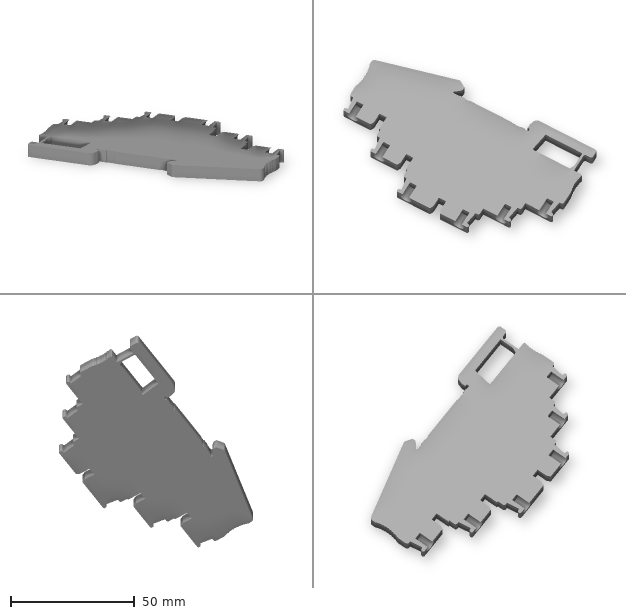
import cadquery as cq
import math


LENGTH = 99.54
HEIGHT = 56.5
THICKNESS = 5.2

TIER_COUNT = 3
TIER_RISE = 10.6
LEFT_PITCH = 13.5
RIGHT_PITCH = 18.5
RIGHT_WALL_SETBACK = 0.1
TIER_TOPS = [HEIGHT - TIER_RISE * (TIER_COUNT - 1 - i) for i in range(TIER_COUNT)]
LEFT_WALLS = [LEFT_PITCH * i for i in range(TIER_COUNT)]
RIGHT_WALLS = [LENGTH - RIGHT_WALL_SETBACK - RIGHT_PITCH * i for i in range(TIER_COUNT)]

LIP_INSET = 1.1
LIP_ROUND = 0.6
LIP_FACE_DROP = 0.9
NECK_INSET = 2.45
NECK_DROP = 1.75
SHOULDER_INSET = 1.65
SHOULDER_DROP = 7.2
SHOULDER_ROUND = 0.9
GRIP_WALL_TOP = 26.8

POCKET_INSET = 3.9
POCKET_MOUTH = 3.05
POCKET_LENGTH = 6.3
POCKET_FLOOR_WIDTH = 0.6
POCKET_RADIUS = 2.2

SLOT_WIDTH = 3.3
SLOT_DEPTH = 6.0
SLOT_STEP = 0.6
SLOT_LEAD_IN = 0.75
SLOT_LEAD_IN_DROP = 1.6
TOP_SLOT_CENTER = 43.35

GRIP_RADIUS = 15.8
GRIP_CENTER_Y = 17.45
LEFT_GRIP_DEPTH = 0.65
RIGHT_GRIP_DEPTH = 1.1
RIDGE_COUNT = 6
RIDGE_PITCH = 1.22
RIDGE_TOP_Y = 20.85
RIDGE_WIDTH = 0.45
RIDGE_HEIGHT = 0.2

BODY_BOTTOM = 12.6
BODY_CORNER = 0.5
FOOT_LEFT = 0.3
FOOT_TOP = 4.15
FOOT_ROUND = 0.9
STEM_LEFT = 3.85
STEM_WIDTH = 0.95
WINDOW_LEFT = STEM_LEFT + STEM_WIDTH
WINDOW_BEVEL_WIDTH = 0.95
WINDOW_BEVEL_HEIGHT = 2.1
WINDOW_TOP_RIGHT = 23.2
WINDOW_BOTTOM_RIGHT = 21.9
WINDOW_ROUND = 0.4
FOOT_TOE_START = 27.2
FOOT_TOE_MIDDLE = (28.35, 0.4)
FOOT_TOE_END = (29.1, 1.2)
FOOT_RIGHT = 29.75
FOOT_FLANK_Y = 3.3
CLAW_Y = 5.05

SEAT_Y = 6.0
SEAT_RELIEF = 0.25
SEAT_START = 28.8
SEAT_END = 63.8
SEAT_RELIEFS = [(32.4, 36.5), (56.3, 58.2)]
SEAT_START_RELIEF_END = 30.5
SEAT_END_RELIEF_START = 60.85

HOOK_THROAT_Y = 5.6
HOOK_NECK = (61.9, 4.2)
HOOK_LEFT = 61.05
HOOK_UPPER_Y = 3.2
HOOK_LOWER_Y = 1.85
HOOK_TIP_START = (63.7, 0.16)
HOOK_TIP_ROUND = 1.2
HOOK_TIP_X = 64.3
RAMP_ROUND = 1.4
RAMP_CORNER_TOP = 10.3


def grip_half_height(depth):
    """Half the chord of a grip arc that sinks by depth."""
    return math.sqrt(2 * GRIP_RADIUS * depth - depth ** 2)


def grip_sink(y, depth):
    """How far the grip arc lies inside the side wall at height y."""
    return depth - GRIP_RADIUS + math.sqrt(GRIP_RADIUS ** 2 - (y - GRIP_CENTER_Y) ** 2)


def quarter_round(path, start, corner, end):
    """Line to start, then a quarter arc to end that rounds off the corner."""
    center = (start[0] + end[0] - corner[0], start[1] + end[1] - corner[1])
    reach = math.sqrt(0.5)
    middle = (
        center[0] + (corner[0] - center[0]) * reach,
        center[1] + (corner[1] - center[1]) * reach,
    )
    return path.lineTo(*start).threePointArc(middle, end)


def draw_tier_end(path, wall, top, inward, climbing):
    """Draw the shoulder and latch lip at one end of a tier.

    inward is +1 at the left end and -1 at the right end.
    """

    def at(inset, drop):
        return (wall + inward * inset, top - drop)

    shoulder = [
        at(0, SHOULDER_DROP + SHOULDER_ROUND),
        at(0, SHOULDER_DROP),
        at(SHOULDER_ROUND, SHOULDER_DROP),
    ]
    neck = [
        at(SHOULDER_INSET, SHOULDER_DROP),
        at(NECK_INSET, NECK_DROP),
    ]
    heel = [
        at(LIP_INSET + LIP_ROUND, LIP_FACE_DROP + LIP_ROUND),
        at(LIP_INSET, LIP_FACE_DROP + LIP_ROUND),
        at(LIP_INSET, LIP_FACE_DROP),
    ]
    lip = [
        at(LIP_INSET, LIP_ROUND),
        at(LIP_INSET, 0),
        at(LIP_INSET + LIP_ROUND, 0),
    ]
    if climbing:
        path = quarter_round(path, *shoulder)
        path = path.lineTo(*neck[0])
        path = path.lineTo(*neck[1])
        path = quarter_round(path, *heel)
        return quarter_round(path, *lip)
    path = quarter_round(path, *lip[::-1])
    path = quarter_round(path, *heel[::-1])
    path = path.lineTo(*neck[1])
    path = path.lineTo(*neck[0])
    return quarter_round(path, *shoulder[::-1])


def draw_grip(path, wall, depth, inward, climbing):
    """Draw a ridged finger grip along a side wall."""
    half = grip_half_height(depth)
    travel = 1 if climbing else -1
    half_ridge = travel * RIDGE_WIDTH / 2
    end_y = GRIP_CENTER_Y + travel * half
    ridge_ys = [RIDGE_TOP_Y - RIDGE_PITCH * i for i in range(RIDGE_COUNT)]
    if climbing:
        ridge_ys.reverse()

    def on_grip(y, raised=0.0):
        return (wall + inward * (grip_sink(y, depth) - raised), y)

    valley_start = GRIP_CENTER_Y - travel * half
    path = path.lineTo(wall, valley_start)
    for y in ridge_ys:
        valley_end = y - half_ridge
        path = path.threePointArc(on_grip((valley_start + valley_end) / 2), on_grip(valley_end))
        path = path.threePointArc(on_grip(y, RIDGE_HEIGHT), on_grip(y + half_ridge))
        valley_start = y + half_ridge
    return path.threePointArc(on_grip((valley_start + end_y) / 2), (wall, end_y))


def draw_foot_toe(path):
    """Draw the toe and claw at the right end of the spring foot."""
    path = path.lineTo(FOOT_TOE_START, 0)
    path = path.threePointArc(FOOT_TOE_MIDDLE, FOOT_TOE_END)
    path = path.lineTo(FOOT_RIGHT, FOOT_FLANK_Y)
    path = path.lineTo(FOOT_RIGHT, CLAW_Y)
    return path.lineTo(SEAT_START, CLAW_Y)


def draw_seat(path):
    """Draw the rail seat with its shallow reliefs, from left to right."""
    relief_y = SEAT_Y + SEAT_RELIEF
    path = path.lineTo(SEAT_START, relief_y)
    path = path.lineTo(SEAT_START_RELIEF_END, relief_y)
    path = path.lineTo(SEAT_START_RELIEF_END, SEAT_Y)
    for start, end in SEAT_RELIEFS:
        path = path.lineTo(start, SEAT_Y)
        path = path.lineTo(start, relief_y)
        path = path.lineTo(end, relief_y)
        path = path.lineTo(end, SEAT_Y)
    path = path.lineTo(SEAT_END_RELIEF_START, SEAT_Y)
    path = path.lineTo(SEAT_END_RELIEF_START, relief_y)
    return path.lineTo(SEAT_END, relief_y)


def draw_hook(path):
    """Draw the fixed hook and the ramp that rises to the right side."""
    path = path.lineTo(SEAT_END, HOOK_THROAT_Y)
    path = path.lineTo(*HOOK_NECK)
    path = path.lineTo(HOOK_LEFT, HOOK_UPPER_Y)
    path = path.lineTo(HOOK_LEFT, HOOK_LOWER_Y)

    tip_center = (HOOK_TIP_X, HOOK_TIP_ROUND)
    corner_center = (LENGTH - RAMP_ROUND, RAMP_CORNER_TOP)
    run = corner_center[0] - tip_center[0]
    rise = corner_center[1] - tip_center[1]
    slope = math.atan2(rise, run) + math.asin((HOOK_TIP_ROUND - RAMP_ROUND) / math.hypot(run, rise))

    def on_circle(center, radius, angle):
        return (center[0] + radius * math.cos(angle), center[1] + radius * math.sin(angle))

    down = -math.pi / 2
    ramp_normal = slope + down
    path = path.lineTo(*HOOK_TIP_START)
    path = path.threePointArc(
        on_circle(tip_center, HOOK_TIP_ROUND, down),
        on_circle(tip_center, HOOK_TIP_ROUND, ramp_normal),
    )
    path = path.lineTo(*on_circle(corner_center, RAMP_ROUND, ramp_normal))
    return path.threePointArc(
        on_circle(corner_center, RAMP_ROUND, ramp_normal / 2),
        (LENGTH, RAMP_CORNER_TOP),
    )


def draw_stem_and_foot(path):
    """Draw the body corner, the spring stem and the left end of the foot."""
    path = path.lineTo(BODY_CORNER, BODY_BOTTOM)
    path = path.lineTo(STEM_LEFT, BODY_BOTTOM)
    path = quarter_round(
        path,
        (STEM_LEFT, FOOT_TOP + FOOT_ROUND),
        (STEM_LEFT, FOOT_TOP),
        (STEM_LEFT - FOOT_ROUND, FOOT_TOP),
    )
    path = quarter_round(
        path,
        (FOOT_LEFT + FOOT_ROUND, FOOT_TOP),
        (FOOT_LEFT, FOOT_TOP),
        (FOOT_LEFT, FOOT_TOP - FOOT_ROUND),
    )
    return quarter_round(
        path,
        (FOOT_LEFT, FOOT_ROUND),
        (FOOT_LEFT, 0),
        (FOOT_LEFT + FOOT_ROUND, 0),
    )


def make_body():
    """Plate with the outer outline, drawn counterclockwise from the foot."""
    path = cq.Workplane("XY").moveTo(FOOT_LEFT + FOOT_ROUND, 0)
    path = draw_foot_toe(path)
    path = draw_seat(path)
    path = draw_hook(path)
    path = draw_grip(path, LENGTH, RIGHT_GRIP_DEPTH, -1, True)
    path = path.lineTo(LENGTH, GRIP_WALL_TOP)
    for i in range(TIER_COUNT):
        if i > 0:
            path = path.lineTo(RIGHT_WALLS[i], TIER_TOPS[i - 1])
        path = draw_tier_end(path, RIGHT_WALLS[i], TIER_TOPS[i], -1, True)
    for i in reversed(range(TIER_COUNT)):
        path = draw_tier_end(path, LEFT_WALLS[i], TIER_TOPS[i], 1, False)
        if i > 0:
            path = path.lineTo(LEFT_WALLS[i], TIER_TOPS[i - 1])
    path = draw_grip(path, LEFT_WALLS[0], LEFT_GRIP_DEPTH, 1, False)
    path = draw_stem_and_foot(path)
    return path.close().extrude(THICKNESS)


def make_foot_window():
    """Opening between the body and the spring foot."""
    outline = [
        (WINDOW_LEFT, FOOT_TOP),
        (WINDOW_BOTTOM_RIGHT, FOOT_TOP),
        (WINDOW_TOP_RIGHT, BODY_BOTTOM),
        (WINDOW_LEFT + WINDOW_BEVEL_WIDTH, BODY_BOTTOM),
        (WINDOW_LEFT, BODY_BOTTOM - WINDOW_BEVEL_HEIGHT),
    ]
    window = cq.Workplane("XY").polyline(outline).close().extrude(THICKNESS)
    return window.edges("|Z and >X").fillet(WINDOW_ROUND)


def make_slot(left, top, lead_in_sides):
    """Driver slot through the plate, flared on the given sides (-1 left, +1 right)."""
    right = left + SLOT_WIDTH
    flare_left = SLOT_LEAD_IN if -1 in lead_in_sides else 0
    flare_right = SLOT_LEAD_IN if 1 in lead_in_sides else 0
    outline = [
        (left, top - SLOT_DEPTH),
        (right, top - SLOT_DEPTH),
        (right, top - SLOT_LEAD_IN_DROP),
        (right + flare_right, top),
        (left - flare_left, top),
        (left, top - SLOT_LEAD_IN_DROP),
    ]
    return cq.Workplane("XY").polyline(outline).close().extrude(THICKNESS)


def make_pocket(left, top):
    """Wire pocket of rounded section that breaks out of the +Z face and the tier top."""
    half_floor = POCKET_FLOOR_WIDTH / 2
    half_mouth = POCKET_MOUTH / 2
    axis_depth = math.sqrt(POCKET_RADIUS ** 2 - (half_mouth - half_floor) ** 2)
    axis_z = THICKNESS - axis_depth
    floor_z = axis_z - POCKET_RADIUS
    half_width = half_floor + POCKET_RADIUS
    section = (
        cq.Workplane("XZ")
        .moveTo(-half_floor, floor_z)
        .lineTo(half_floor, floor_z)
        .threePointArc((half_width, axis_z), (half_mouth, THICKNESS))
        .lineTo(-half_mouth, THICKNESS)
        .threePointArc((-half_width, axis_z), (-half_floor, floor_z))
        .close()
        .extrude(POCKET_LENGTH)
    )
    return section.translate((left + half_mouth, top, 0))


result = make_body().cut(make_foot_window())
for left_wall, right_wall, tier_top in zip(LEFT_WALLS, RIGHT_WALLS, TIER_TOPS):
    result = result.cut(make_pocket(left_wall + POCKET_INSET, tier_top))
    result = result.cut(make_pocket(right_wall - POCKET_INSET - POCKET_MOUTH, tier_top))

for upper_wall, tier_top in zip(RIGHT_WALLS[1:], TIER_TOPS):
    result = result.cut(make_slot(upper_wall + SLOT_STEP, tier_top, [1]))
result = result.cut(make_slot(TOP_SLOT_CENTER - SLOT_WIDTH / 2, HEIGHT, [-1, 1]))